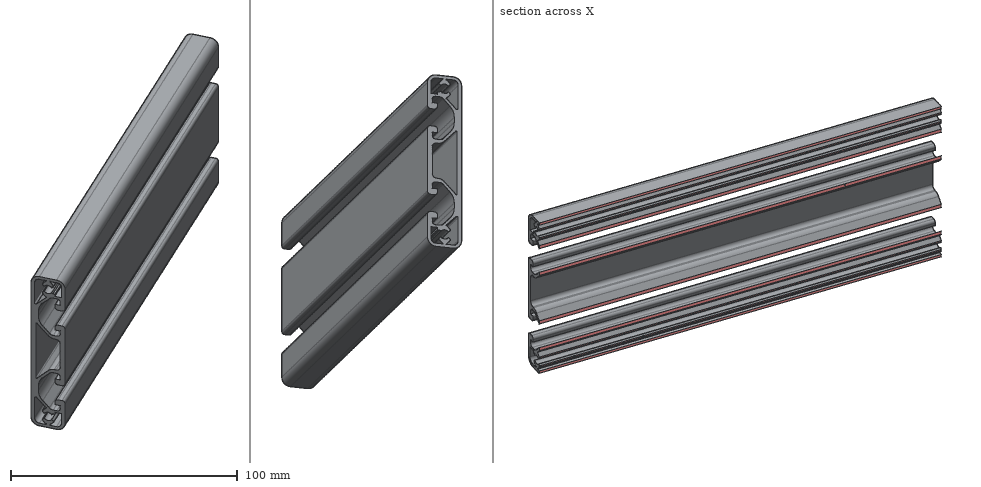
import cadquery as cq
import math

WIDTH = 16.0
LENGTH = 200.0
HEIGHT = 80.0
CORNER_RADIUS = 4.0

SLOT_CENTER_Z = 20.0
SLOT_MOUTH = 8.0
SLOT_HEIGHT = 20.0
SLOT_BACK_X = -4.5
SLOT_INNER_X = 5.75
SLOT_BACK_RADIUS = 7.0
SLOT_SIDE_RADIUS = 1.6
SLOT_BEND_RADIUS = 2.5
DIAGONAL_START_X = 1.45
LIP_TIP_X = 3.3
LIP_THICKNESS = 2.9
LIP_TIP_RADIUS = 1.4
LIP_INNER_RADIUS = 0.4
LIP_OUTER_RADIUS = 1.4

END_WALL = 1.7
END_TOP_WALL = 1.45
END_CORNER_RADIUS = CORNER_RADIUS - END_WALL
END_FLOOR_WALL = 1.1
END_STRUT = 1.3
END_TOE_Z = 25.0
END_TOE_RADIUS = 0.5
MIDDLE_BACK_WALL = 2.3
MIDDLE_SLOT_WALL = 1.8
MIDDLE_STRUT = 1.35
MIDDLE_TOE_RADIUS = 0.3
MIDDLE_BEND_RADIUS = 4.0
MIDDLE_CORNER_RADIUS = 2.0

CHANNEL_CENTER_Z = 34.0
CHANNEL_RADIUS = 2.15
JAW_APEX = 5.2
JAW_TIP_X = 2.85
JAW_TIP_RADIUS = 0.4
JAW_INNER_Z = 1.15
STEM_WIDTH = 1.7
PLINTH_RIGHT_X = 3.2
PLINTH_TOP_Z = 32.2

half_width = WIDTH / 2
half_height = HEIGHT / 2
slot_top = SLOT_CENTER_Z + SLOT_HEIGHT / 2
slot_bottom = SLOT_CENTER_Z - SLOT_HEIGHT / 2
mouth_top = SLOT_CENTER_Z + SLOT_MOUTH / 2
mouth_bottom = SLOT_CENTER_Z - SLOT_MOUTH / 2
end_floor = slot_top + END_FLOOR_WALL


def rounded_prism(corners):
    """Full-length prism; each corner is (x, z, rounding radius)."""
    profile = None
    count = len(corners)
    for index, (x, z, radius) in enumerate(corners):
        corner = cq.Vector(x, z, 0)
        before = cq.Vector(*corners[index - 1][:2], 0)
        after = cq.Vector(*corners[(index + 1) % count][:2], 0)
        to_before = (before - corner).normalized()
        to_after = (after - corner).normalized()
        half_angle = to_before.getAngle(to_after) / 2
        setback = radius / math.tan(half_angle)
        start = corner + to_before * setback
        end = corner + to_after * setback
        bisector = (to_before + to_after).normalized()
        middle = corner + bisector * (radius / math.sin(half_angle) - radius)
        if profile is None:
            profile = cq.Workplane("XZ").moveTo(start.x, start.y)
        else:
            profile = profile.lineTo(start.x, start.y)
        if radius > 0:
            profile = profile.threePointArc((middle.x, middle.y), (end.x, end.y))
    return profile.close().extrude(LENGTH / 2, both=True)


def box_prism(x_min, x_max, z_min, z_max):
    return rounded_prism([(x_min, z_min, 0), (x_max, z_min, 0), (x_max, z_max, 0), (x_min, z_max, 0)])


def mirrored(shape):
    """The shape together with its mirror image below the middle plane."""
    return shape.union(shape.mirror("XY"))


def slot():
    diagonal_end = SLOT_HEIGHT / 2 - (DIAGONAL_START_X - SLOT_BACK_X)
    upper_half = [
        (WIDTH, SLOT_MOUTH / 2, 0),
        (LIP_TIP_X, SLOT_MOUTH / 2, LIP_TIP_RADIUS),
        (LIP_TIP_X, SLOT_MOUTH / 2 + LIP_THICKNESS, LIP_INNER_RADIUS),
        (SLOT_INNER_X, SLOT_MOUTH / 2 + LIP_THICKNESS, 0),
        (SLOT_INNER_X, SLOT_HEIGHT / 2, SLOT_SIDE_RADIUS),
        (DIAGONAL_START_X, SLOT_HEIGHT / 2, SLOT_BEND_RADIUS),
        (SLOT_BACK_X, diagonal_end, SLOT_BACK_RADIUS),
    ]
    upper = [(x, SLOT_CENTER_Z + dz, radius) for x, dz, radius in upper_half]
    lower = [(x, SLOT_CENTER_Z - dz, radius) for x, dz, radius in reversed(upper_half)]
    return rounded_prism(upper + lower)


def end_chamber():
    left = -half_width + END_WALL
    right = half_width - END_WALL
    top = half_height - END_TOP_WALL
    strut_offset = slot_top - DIAGONAL_START_X + END_STRUT * math.sqrt(2)
    return rounded_prism([
        (left, top, END_CORNER_RADIUS),
        (right, top, END_CORNER_RADIUS),
        (right, end_floor, 0),
        (end_floor - strut_offset, end_floor, 0),
        (END_TOE_Z - strut_offset, END_TOE_Z, 0),
        (left, END_TOE_Z, END_TOE_RADIUS),
    ])


def middle_chamber():
    left = -half_width + MIDDLE_BACK_WALL
    top = slot_bottom - MIDDLE_SLOT_WALL
    strut_offset = slot_bottom + DIAGONAL_START_X - MIDDLE_STRUT * math.sqrt(2)
    upper_half = [
        (left, strut_offset - left, MIDDLE_TOE_RADIUS),
        (strut_offset - top, top, MIDDLE_BEND_RADIUS),
        (SLOT_INNER_X, top, MIDDLE_CORNER_RADIUS),
    ]
    lower_half = [(x, -z, radius) for x, z, radius in reversed(upper_half)]
    return rounded_prism(upper_half + lower_half)


def channel_jaw(side):
    """Wedge with its apex pointing up (side = 1) or down (side = -1)."""
    tip_z = JAW_APEX - JAW_TIP_X
    inner_x = JAW_TIP_X - (tip_z - JAW_INNER_Z)
    corners = [
        (0, JAW_APEX, 0),
        (JAW_TIP_X, tip_z, JAW_TIP_RADIUS),
        (inner_x, JAW_INNER_Z, 0),
        (-inner_x, JAW_INNER_Z, 0),
        (-JAW_TIP_X, tip_z, JAW_TIP_RADIUS),
    ]
    return rounded_prism([(x, CHANNEL_CENTER_Z + side * z, radius) for x, z, radius in corners])


def screw_channel():
    stem_root = half_height - END_TOP_WALL / 2
    plinth_root = slot_top + END_FLOOR_WALL / 2
    stem = box_prism(-STEM_WIDTH / 2, STEM_WIDTH / 2, CHANNEL_CENTER_Z, stem_root)
    plinth = box_prism(STEM_WIDTH / 2, PLINTH_RIGHT_X, plinth_root, PLINTH_TOP_Z)
    bore = (
        cq.Workplane("XZ")
        .center(0, CHANNEL_CENTER_Z)
        .circle(CHANNEL_RADIUS)
        .extrude(LENGTH / 2, both=True)
    )
    return stem.union(channel_jaw(1)).union(channel_jaw(-1)).union(plinth).cut(bore)


def round_mouth_edges(shape):
    """Round the four long edges where the slot mouths meet the +X face."""
    margin = LIP_OUTER_RADIUS / 2
    for edge_z in (mouth_top, mouth_bottom, -mouth_bottom, -mouth_top):
        near_edge = cq.selectors.BoxSelector(
            (half_width - margin, -LENGTH, edge_z - margin),
            (half_width + margin, LENGTH, edge_z + margin),
        )
        shape = shape.edges(near_edge).fillet(LIP_OUTER_RADIUS)
    return shape


body = cq.Workplane("XY").box(WIDTH, LENGTH, HEIGHT).edges("|Y").fillet(CORNER_RADIUS)
body = round_mouth_edges(body.cut(mirrored(slot())))
body = body.cut(mirrored(end_chamber())).cut(middle_chamber())
result = body.union(mirrored(screw_channel()))